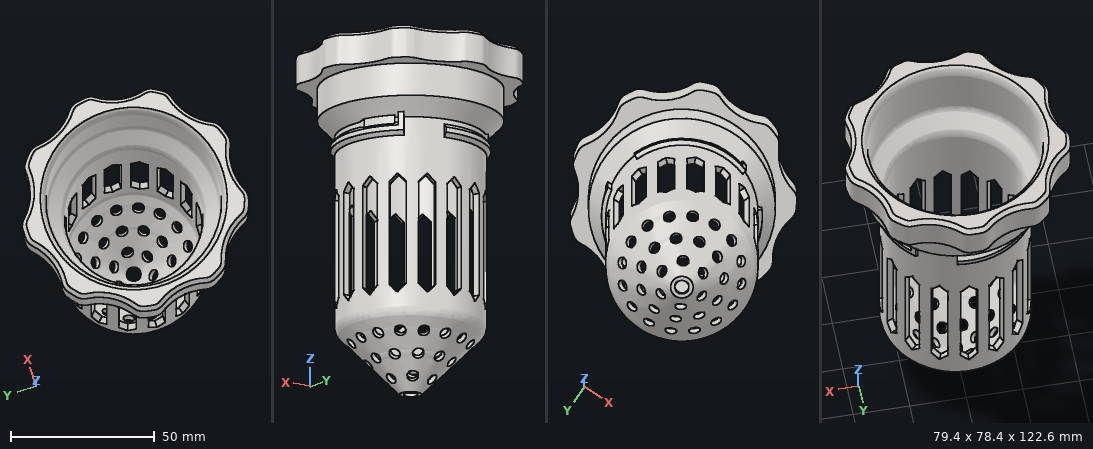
import cadquery as cq
import math

height = 122.6
tube_radius = 26.5
tube_wall = 2.5
neck_radius = 32.5
neck_wall = 2.0
neck_bottom = 99.0
tip_radius = 3.9
tip_hole_radius = 2.5
tip_wall = 2.0
tip_fillet = 4.2
inner_tip_fillet = tip_fillet - tip_wall
mouth_fillet = 4.0
shoulder_inner_fillet = 3.1
shoulder_wall = 2.3

knob_height = 12.0
knob_radius = 40.0
lobe_count = 9
first_scallop_angle = -90.0
scallop_radius = 20.0
scallop_centre = 56.0
lobe_fillet = 5.0
knob_chamfer = 1.5

slot_count = 16
slot_width = 6.0
slot_bottom = 29.7
slot_top = 72.6

drain_diameter = 3.9
first_row_height = 4.4
row_spacing = 6.4
row_counts = (6, 11, 16)

lug_count = 3
lug_depth = 1.5
lug_height = 4.8
lug_bottom = 86.3
lug_start = -159.0
lug_end = -70.0
stop_angle = 4.0
bump_depth = 0.6
bump_start = -101.7
bump_end = -77.0
bump_ramp_angle = 5.4

slant = math.sqrt(2)
tube_inner = tube_radius - tube_wall
neck_inner = neck_radius - neck_wall
neck_cone_bottom = neck_bottom - (neck_radius - tube_radius)
tube_bottom = tube_radius - tip_radius
inner_tube_bottom = tube_bottom + tip_wall * slant - tube_wall
inner_tip_z = inner_tube_bottom - (tube_inner - tip_hole_radius)
inner_neck_bottom = neck_bottom + shoulder_wall * slant - neck_wall
inner_tube_top = inner_neck_bottom - (neck_inner - tube_inner)
mouth_cone_bottom = height - neck_wall
lug_root = tube_radius - tube_wall / 2
lug_radius = tube_radius + lug_depth


def polar(radius, degrees):
    angle = math.radians(degrees)
    return (radius * math.cos(angle), radius * math.sin(angle))


def revolve_full(points):
    return cq.Workplane("XZ").polyline(points).close().revolve(360, (0, 0), (0, 1))


def round_ring(body, z, radius):
    """Fillet the circular edge centred on the axis at height z."""
    near = 0.01
    ring = cq.selectors.BoxSelector((-near, -near, z - near), (near, near, z + near))
    return body.edges(ring).fillet(radius)


def rotate_about_z(body, degrees):
    return body.rotate((0, 0, 0), (0, 0, 1), degrees)


def make_shell():
    body = revolve_full([
        (0, 0),
        (tip_radius, 0),
        (tube_radius, tube_bottom),
        (tube_radius, neck_cone_bottom),
        (neck_radius, neck_bottom),
        (neck_radius, height),
        (0, height),
    ])
    return round_ring(body, tube_bottom, tip_fillet)


def make_cavity():
    cavity = revolve_full([
        (0, 0),
        (tip_hole_radius, 0),
        (tip_hole_radius, inner_tip_z),
        (tube_inner, inner_tube_bottom),
        (tube_inner, inner_tube_top),
        (neck_inner, inner_neck_bottom),
        (neck_inner, mouth_cone_bottom),
        (neck_radius, height),
        (0, height),
    ])
    cavity = round_ring(cavity, inner_tube_bottom, inner_tip_fillet)
    cavity = round_ring(cavity, inner_tube_top, mouth_fillet)
    cavity = round_ring(cavity, inner_neck_bottom, shoulder_inner_fillet)
    return round_ring(cavity, mouth_cone_bottom, mouth_fillet)


def make_knob():
    base = cq.Workplane("XY").workplane(offset=height - knob_height)
    knob = base.circle(knob_radius).extrude(knob_height)
    scallops = (
        base.polarArray(scallop_centre, first_scallop_angle, 360, lobe_count)
        .circle(scallop_radius)
        .extrude(knob_height)
    )
    knob = knob.cut(scallops).edges("|Z").fillet(lobe_fillet)
    return knob.faces(">Z").edges().chamfer(knob_chamfer)


def make_slots():
    half = slot_width / 2
    margin = 1.2
    slot = (
        cq.Workplane("YZ")
        .workplane(offset=tube_inner - margin)
        .polyline([
            (0, slot_bottom),
            (half, slot_bottom + half),
            (half, slot_top - half),
            (0, slot_top),
            (-half, slot_top - half),
            (-half, slot_bottom + half),
        ])
        .close()
        .extrude(tube_wall + 2 * margin)
    )
    slots = []
    for index in range(slot_count):
        slots.append(rotate_about_z(slot, index * 360 / slot_count).val())
    return cq.Workplane(cq.Compound.makeCompound(slots))


def make_drain_holes():
    """Rows of holes square to the conical wall, each row starting on +X."""
    margin = 1.2
    inward = cq.Vector(-1, 0, 1).normalized()
    axis_point = cq.Vector(0, 0, 0)
    axis_direction = cq.Vector(0, 0, 1)
    holes = []
    for row, count in enumerate(row_counts):
        z = first_row_height + row * row_spacing
        start = cq.Vector(tip_radius + z, 0, z) - inward * margin
        hole = cq.Solid.makeCylinder(drain_diameter / 2, tip_wall + 2 * margin, start, inward)
        for index in range(count):
            holes.append(hole.rotate(axis_point, axis_direction, index * 360 / count))
    return cq.Workplane(cq.Compound.makeCompound(holes))


def revolve_sector(points, start, end):
    sector = cq.Workplane("XZ").polyline(points).close().revolve(end - start, (0, 0), (0, 1))
    return rotate_about_z(sector, start)


def make_lug():
    lug_top = lug_bottom + lug_height
    rail = revolve_sector([
        (lug_root, lug_bottom),
        (tube_radius, lug_bottom),
        (lug_radius, lug_bottom + lug_depth),
        (lug_radius, lug_top - lug_depth),
        (tube_radius, lug_top),
        (lug_root, lug_top),
    ], lug_start, lug_end)
    stop_top = neck_cone_bottom + lug_depth
    stop = revolve_sector([
        (lug_root, lug_bottom),
        (tube_radius, lug_bottom),
        (lug_radius, lug_bottom + lug_depth),
        (lug_radius, stop_top),
        (lug_root, stop_top),
    ], lug_end - stop_angle, lug_end)
    return rail.union(stop).union(make_bump())


def make_bump():
    """Low detent between the rail and the neck, with a ramp at its start."""
    bump_radius = tube_radius + bump_depth
    ramp_start = bump_start - bump_ramp_angle
    middle = (bump_start + bump_end) / 2
    bottom = lug_bottom + lug_height / 2
    return (
        cq.Workplane("XY")
        .workplane(offset=bottom)
        .moveTo(*polar(lug_root, ramp_start))
        .lineTo(*polar(tube_radius, ramp_start))
        .lineTo(*polar(bump_radius, bump_start))
        .threePointArc(polar(bump_radius, middle), polar(bump_radius, bump_end))
        .lineTo(*polar(lug_root, bump_end))
        .threePointArc(polar(lug_root, middle), polar(lug_root, ramp_start))
        .close()
        .extrude(neck_cone_bottom + bump_depth - bottom)
    )


result = make_shell().union(make_knob())
for index in range(lug_count):
    result = result.union(rotate_about_z(make_lug(), index * 360 / lug_count))
result = result.cut(make_cavity()).cut(make_slots()).cut(make_drain_holes())